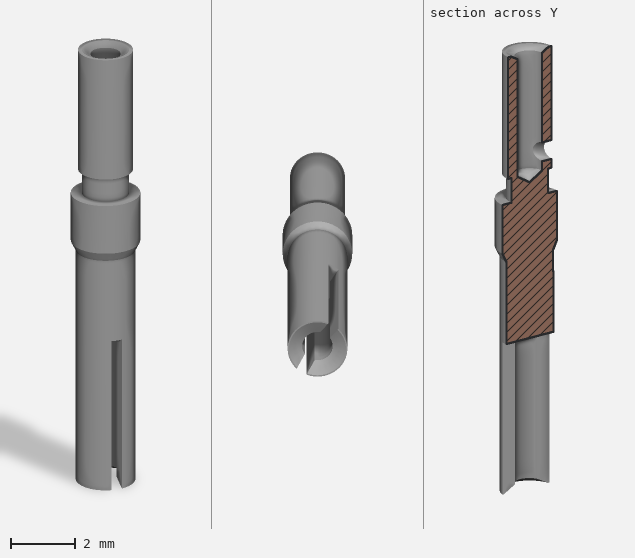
import cadquery as cq
import math

total_length = 14.4
barrel_length = 4.0
neck_length = 0.79
collar_length = 1.9
collar_chamfer_height = 0.3

barrel_diameter = 1.7
neck_diameter = 1.45
collar_diameter = 2.15
body_diameter = 1.85

bore_diameter = 0.94
countersink_diameter = 1.45
countersink_depth = 0.15
drill_tip_angle = 118.0

inspection_hole_diameter = 0.6
inspection_hole_drop = 3.4

slot_width = 0.36
slot_length = 5.0

socket_diameter = bore_diameter
socket_depth = slot_length
lead_in_diameter = 1.75
lead_in_depth = 0.23

barrel_bottom = total_length - barrel_length
collar_top = barrel_bottom - neck_length
collar_bottom = collar_top - collar_length


def make_turned_body():
    """Revolve the stepped outside shape with the chamfer under the collar."""
    return (
        cq.Workplane("XZ")
        .lineTo(body_diameter / 2, 0)
        .lineTo(body_diameter / 2, collar_bottom)
        .lineTo(collar_diameter / 2, collar_bottom + collar_chamfer_height)
        .lineTo(collar_diameter / 2, collar_top)
        .lineTo(neck_diameter / 2, collar_top)
        .lineTo(neck_diameter / 2, barrel_bottom)
        .lineTo(barrel_diameter / 2, barrel_bottom)
        .lineTo(barrel_diameter / 2, total_length)
        .lineTo(0, total_length)
        .close()
        .revolve(360, (0, 0), (0, 1))
    )


def make_wire_bore():
    """Countersunk blind bore, as deep as the barrel, with a conical drill tip."""
    bore_radius = bore_diameter / 2
    tip_height = bore_radius / math.tan(math.radians(drill_tip_angle / 2))
    return (
        cq.Workplane("XZ")
        .moveTo(0, total_length)
        .lineTo(countersink_diameter / 2, total_length)
        .lineTo(bore_radius, total_length - countersink_depth)
        .lineTo(bore_radius, barrel_bottom)
        .lineTo(0, barrel_bottom - tip_height)
        .close()
        .revolve(360, (0, 0), (0, 1))
    )


def make_socket():
    """Bore between the tines with a conical lead-in for the mating pin."""
    socket_radius = socket_diameter / 2
    return (
        cq.Workplane("XZ")
        .lineTo(lead_in_diameter / 2, 0)
        .lineTo(socket_radius, lead_in_depth)
        .lineTo(socket_radius, socket_depth)
        .lineTo(0, socket_depth)
        .close()
        .revolve(360, (0, 0), (0, 1))
    )


def make_inspection_hole():
    """Radial hole from the -X side of the barrel into the bore."""
    return (
        cq.Workplane("YZ")
        .center(0, total_length - inspection_hole_drop)
        .circle(inspection_hole_diameter / 2)
        .extrude(-barrel_diameter)
    )


def make_slot():
    """Slot along X that splits the lower end into two tines."""
    return cq.Workplane("XY").box(
        collar_diameter, slot_width, slot_length, centered=(True, True, False)
    )


result = (
    make_turned_body()
    .cut(make_wire_bore())
    .cut(make_inspection_hole())
    .cut(make_socket())
    .cut(make_slot())
)